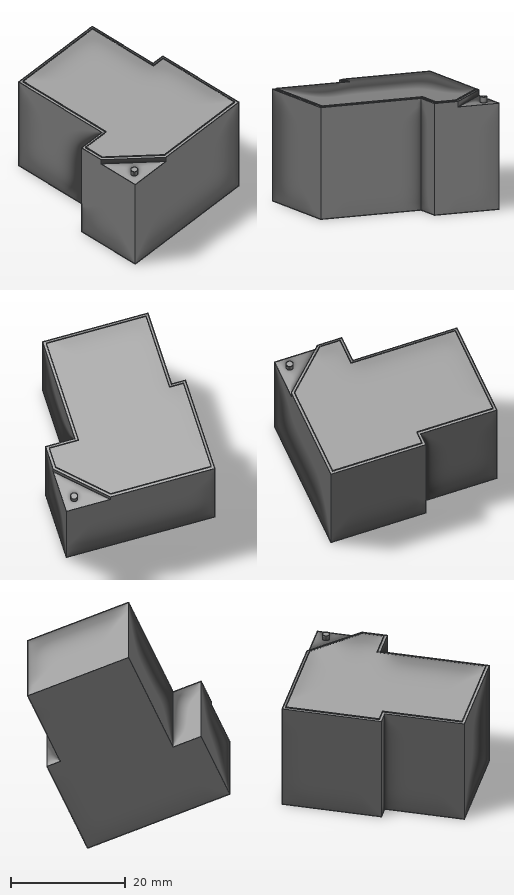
import cadquery as cq

length = 32.0
width = 27.0
total_height = 20.0

lid_thickness = 0.2
lid_margin = 0.5
housing_height = total_height - lid_thickness

back_notch_length = 14.25
back_notch_width = 2.53
front_notch_length = 19.45
front_notch_width = 5.3

ledge_leg = 8.0
ledge_depth = 1.0
ledge_height = housing_height - ledge_depth

pin_diameter = 1.2
pin_inset = 2.0


def make_housing():
    """Block with two notched corners and a lowered triangular ledge."""
    block = (
        cq.Workplane("XY")
        .moveTo(0, front_notch_width)
        .lineTo(front_notch_length, front_notch_width)
        .lineTo(front_notch_length, 0)
        .lineTo(length, 0)
        .lineTo(length, width)
        .lineTo(back_notch_length, width)
        .lineTo(back_notch_length, width - back_notch_width)
        .lineTo(0, width - back_notch_width)
        .close()
        .extrude(housing_height)
    )
    ledge_cut = (
        cq.Workplane("XY", origin=(0, 0, ledge_height))
        .moveTo(length - ledge_leg, 0)
        .lineTo(length, 0)
        .lineTo(length, ledge_leg)
        .close()
        .extrude(ledge_depth)
    )
    return block.cut(ledge_cut)


def make_lid(housing):
    """Thin plate on the housing top, inset evenly from its rim."""
    rim = housing.faces(">Z").wires().toPending()
    return rim.offset2D(-lid_margin, "intersection").extrude(lid_thickness, combine=False)


def make_pin():
    """Short round pin standing on the corner ledge."""
    return (
        cq.Workplane("XY", origin=(length - pin_inset, pin_inset, ledge_height))
        .circle(pin_diameter / 2)
        .extrude(ledge_depth)
    )


housing = make_housing()
lid = make_lid(housing)
pin = make_pin()

result = cq.Compound.makeCompound([housing.val(), lid.val(), pin.val()])